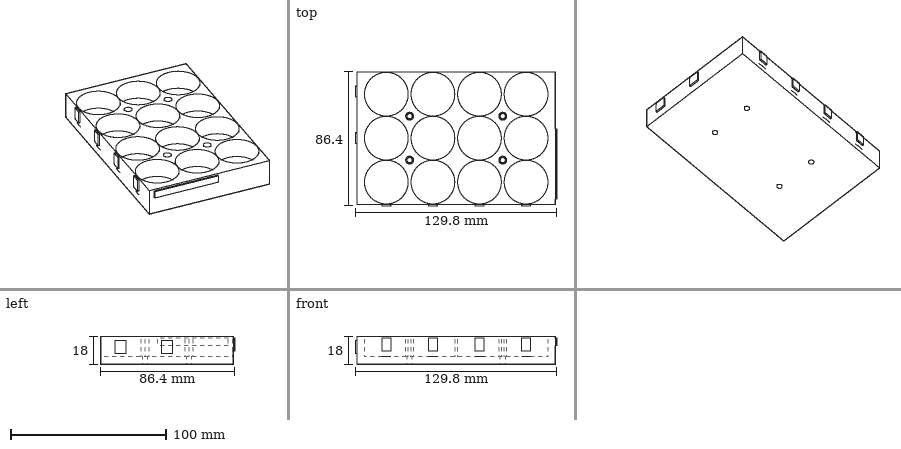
import cadquery as cq

overall_length = 129.8
overall_width = 86.4
height = 18.0

pad_relief = 1.0
block_length = overall_length - 2 * pad_relief
block_width = overall_width - pad_relief

columns = 4
rows = 3
column_pitch = 30.0
row_pitch = 28.3
well_diameter = 28.2
well_depth = 13.0

hole_diameter = 3.4
counterbore_diameter = 5.0
counterbore_depth = well_depth
hole_spacing_x = 2 * column_pitch
hole_spacing_y = row_pitch

row_pad_pitch = column_pitch
column_pad_width = 5.8
row_pad_width = 7.1
pad_height = 8.4
column_pad_drop = 1.0
row_pad_drop = 2.6
strip_length = 45.2
strip_height = 4.8
strip_drop = 1.2
strip_center_y = -16.6


def centered_positions(count, pitch):
    """Positions of a row of equally spaced items, centred on zero."""
    return [(index - (count - 1) / 2) * pitch for index in range(count)]


def make_pad(size_x, size_y, size_z, center_x, center_y, drop):
    """A plain pad whose top lies `drop` below the top face of the block."""
    bottom = height - drop - size_z
    return (
        cq.Workplane("XY", origin=(center_x, center_y, bottom))
        .box(size_x, size_y, size_z, centered=(True, True, False))
    )


def make_block():
    """The rectangular block with its wells and counterbored holes."""
    block = cq.Workplane("XY").box(block_length, block_width, height, centered=(True, True, False))
    top = cq.Workplane("XY", origin=(0, 0, height))
    well_pattern = top.rarray(column_pitch, row_pitch, columns, rows)
    wells = well_pattern.circle(well_diameter / 2).extrude(-well_depth)
    hole_pattern = top.rarray(hole_spacing_x, hole_spacing_y, 2, 2)
    holes = hole_pattern.circle(hole_diameter / 2).extrude(-height)
    counterbores = hole_pattern.circle(counterbore_diameter / 2).extrude(-counterbore_depth)
    return block.cut(wells).cut(holes).cut(counterbores)


side_x = (block_length + pad_relief) / 2
front_y = -(block_width + pad_relief) / 2

result = make_block()
for x in centered_positions(columns, column_pitch):
    result = result.union(make_pad(column_pad_width, pad_relief, pad_height, x, front_y, column_pad_drop))
for y in centered_positions(rows, row_pad_pitch)[1:]:
    result = result.union(make_pad(pad_relief, row_pad_width, pad_height, -side_x, y, row_pad_drop))
result = result.union(make_pad(pad_relief, strip_length, strip_height, side_x, strip_center_y, strip_drop))